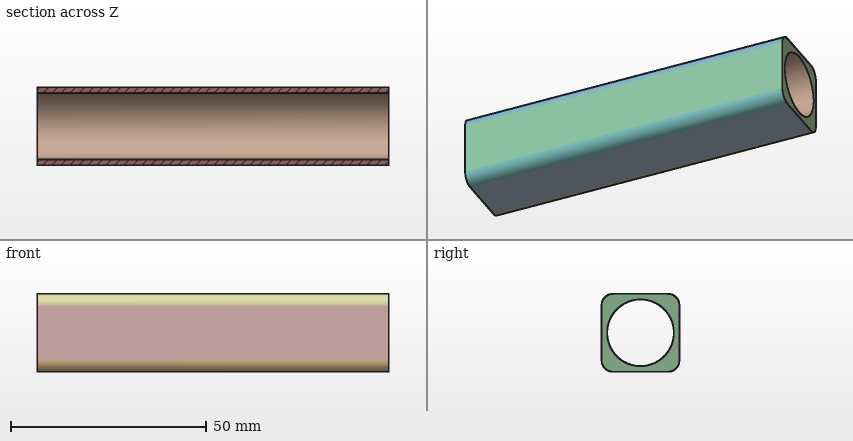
import cadquery as cq

length = 90.0
side = 20.0
corner_radius = 3.0
bore_diameter = 17.0

bar = cq.Workplane("YZ").rect(side, side).extrude(length / 2, both=True)
rounded_bar = bar.edges("|X").fillet(corner_radius)
bore = cq.Workplane("YZ").circle(bore_diameter / 2).extrude(length / 2, both=True)

result = rounded_bar.cut(bore)